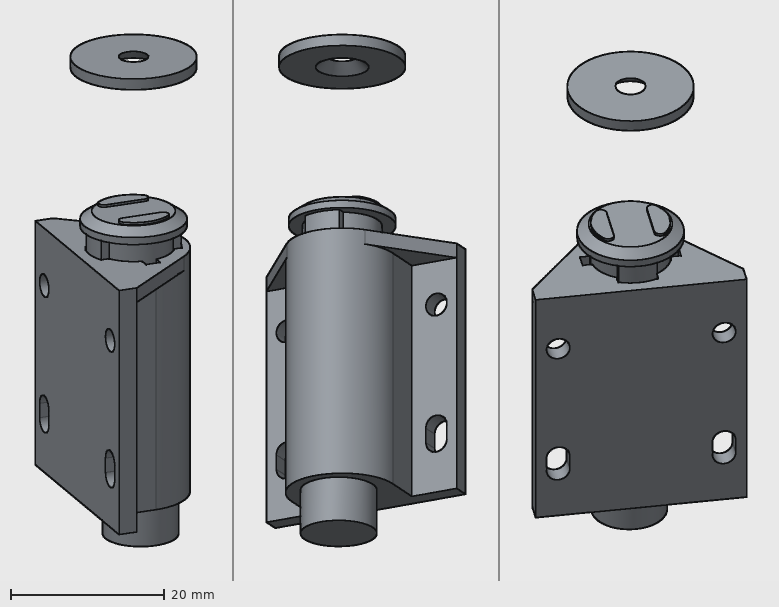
import cadquery as cq
import math

OVERALL_HEIGHT = 66.6

DISC_RADIUS = 8.25
DISC_THICKNESS = 1.5
DISC_HOLE_RADIUS = 1.9
COUNTERSINK_RADIUS = DISC_HOLE_RADIUS + DISC_THICKNESS

PLATE_WIDTH = 28.0
PLATE_BACK_Y = -8.0
PLATE_THICKNESS = 2.5
PLATE_FRONT_Y = PLATE_BACK_Y + PLATE_THICKNESS
BARREL_RADIUS = 7.4
HOUSING_BOTTOM = 6.0
HOUSING_HEIGHT = 34.0
HOUSING_TOP = HOUSING_BOTTOM + HOUSING_HEIGHT
FLANGE_THICKNESS = 2.0
TAIL_RADIUS = 5.0
TAIL_Y = 1.0

HOLE_SPACING = 22.0
HOLE_DIAMETER = 3.05
HOLE_Z = 32.05
SLOT_Z = 14.1
SLOT_LENGTH = 5.05

STEM_RADIUS = 5.2
KEY_RADIUS = 6.2
KEY_WIDTH = 5.05
STEM_HEIGHT = 3.0
CAP_RADIUS = 7.0
CAP_TOP_RADIUS = 5.45
CAP_RIM_HEIGHT = 1.0
CAP_HEIGHT = 2.05
PAD_RADIUS = STEM_RADIUS
PAD_INNER_X = 2.65
PAD_HEIGHT = 0.3
PAD_CORNER_RADIUS = 0.8

SOCKET_DEPTH = FLANGE_THICKNESS
SOCKET_CLEARANCE = 0.1
SIDE_SLOT_REACH = 6.5
SIDE_SLOT_WIDTH = 2.0


def cylinder(radius, bottom, height, y=0.0):
    return cq.Workplane("XY", origin=(0, y, bottom)).circle(radius).extrude(height)


def slab(width, y_min, y_max, bottom, height):
    depth = y_max - y_min
    return (
        cq.Workplane("XY", origin=(0, (y_min + y_max) / 2, bottom))
        .rect(width, depth)
        .extrude(height)
    )


def make_flange():
    """Thin web whose sloping sides run from the plate corners tangent to the barrel."""
    corner_x = PLATE_WIDTH / 2
    corner_distance = math.hypot(corner_x, PLATE_FRONT_Y)
    tangent_angle = math.atan2(PLATE_FRONT_Y, corner_x) + math.acos(BARREL_RADIUS / corner_distance)
    tangent_x = BARREL_RADIUS * math.cos(tangent_angle)
    tangent_y = BARREL_RADIUS * math.sin(tangent_angle)
    return (
        cq.Workplane("XY", origin=(0, 0, HOUSING_TOP - FLANGE_THICKNESS))
        .moveTo(-corner_x, PLATE_BACK_Y)
        .lineTo(corner_x, PLATE_BACK_Y)
        .lineTo(corner_x, PLATE_FRONT_Y)
        .lineTo(tangent_x, tangent_y)
        .threePointArc((0, BARREL_RADIUS), (-tangent_x, tangent_y))
        .lineTo(-corner_x, PLATE_FRONT_Y)
        .close()
        .extrude(FLANGE_THICKNESS)
    )


def make_mounting_holes():
    """Two round holes above two vertical slots, through the plate along Y."""
    plane = cq.Workplane("XZ", origin=(0, PLATE_BACK_Y, 0))
    half_spacing = HOLE_SPACING / 2
    holes = (
        plane.pushPoints([(-half_spacing, HOLE_Z), (half_spacing, HOLE_Z)])
        .circle(HOLE_DIAMETER / 2)
        .extrude(-PLATE_THICKNESS)
    )
    slots = (
        plane.pushPoints([(-half_spacing, SLOT_Z), (half_spacing, SLOT_Z)])
        .slot2D(SLOT_LENGTH, HOLE_DIAMETER, 90)
        .extrude(-PLATE_THICKNESS)
    )
    return holes.union(slots)


def make_keyed_stem(clearance, height):
    """Round stem with a key on its +Y and -Y sides, grown by a clearance, from the socket floor up."""
    bottom = HOUSING_TOP - SOCKET_DEPTH
    key_reach = KEY_RADIUS + clearance
    key_bar = slab(KEY_WIDTH + 2 * clearance, -key_reach, key_reach, bottom, height)
    keys = cylinder(key_reach, bottom, height).intersect(key_bar)
    return cylinder(STEM_RADIUS + clearance, bottom, height).union(keys)


def make_socket():
    """Clearance around the keyed stem, with a narrow slot on the +X and -X sides."""
    half_slot = SIDE_SLOT_WIDTH / 2
    side_slots = slab(
        2 * SIDE_SLOT_REACH, -half_slot, half_slot, HOUSING_TOP - SOCKET_DEPTH, SOCKET_DEPTH
    )
    return make_keyed_stem(SOCKET_CLEARANCE, SOCKET_DEPTH).union(side_slots)


def make_housing():
    plate = slab(PLATE_WIDTH, PLATE_BACK_Y, PLATE_FRONT_Y, HOUSING_BOTTOM, HOUSING_HEIGHT)
    barrel = cylinder(BARREL_RADIUS, HOUSING_BOTTOM, HOUSING_HEIGHT)
    barrel_base = slab(2 * BARREL_RADIUS, PLATE_BACK_Y, 0, HOUSING_BOTTOM, HOUSING_HEIGHT)
    tail = cylinder(TAIL_RADIUS, 0, HOUSING_BOTTOM, TAIL_Y)
    body = plate.union(barrel_base).union(barrel).union(make_flange()).union(tail)
    return body.cut(make_mounting_holes()).cut(make_socket())


def make_pad(side, bottom):
    """Circular segment with rounded corners on the +X (1) or -X (-1) side of the cap."""
    corner_y = math.sqrt(PAD_RADIUS**2 - PAD_INNER_X**2)
    return (
        cq.Workplane("XY", origin=(0, 0, bottom))
        .moveTo(side * PAD_INNER_X, -corner_y)
        .threePointArc((side * PAD_RADIUS, 0), (side * PAD_INNER_X, corner_y))
        .close()
        .extrude(PAD_HEIGHT)
        .edges("|Z")
        .fillet(PAD_CORNER_RADIUS)
    )


def make_plunger():
    """Keyed stem seated on the socket floor, with a bevelled cap and two raised pads."""
    stem = make_keyed_stem(0, SOCKET_DEPTH + STEM_HEIGHT)

    cap_bottom = HOUSING_TOP + STEM_HEIGHT
    cap = (
        cq.Workplane("XZ")
        .moveTo(0, cap_bottom)
        .lineTo(CAP_RADIUS, cap_bottom)
        .lineTo(CAP_RADIUS, cap_bottom + CAP_RIM_HEIGHT)
        .lineTo(CAP_TOP_RADIUS, cap_bottom + CAP_HEIGHT)
        .lineTo(0, cap_bottom + CAP_HEIGHT)
        .close()
        .revolve(360, (0, 0, 0), (0, 1, 0))
    )

    pad_bottom = cap_bottom + CAP_HEIGHT
    plunger = stem.union(cap)
    for side in (-1, 1):
        plunger = plunger.union(make_pad(side, pad_bottom))
    return plunger


def make_strike_disc():
    """Flat disc whose screw hole is countersunk from below."""
    bottom = OVERALL_HEIGHT - DISC_THICKNESS
    cone = cq.Solid.makeCone(COUNTERSINK_RADIUS, DISC_HOLE_RADIUS, DISC_THICKNESS, cq.Vector(0, 0, bottom))
    return cylinder(DISC_RADIUS, bottom, DISC_THICKNESS).cut(cq.Workplane(cone))


housing = make_housing()
plunger = make_plunger()
strike_disc = make_strike_disc()

result = cq.Compound.makeCompound([housing.val(), plunger.val(), strike_disc.val()])